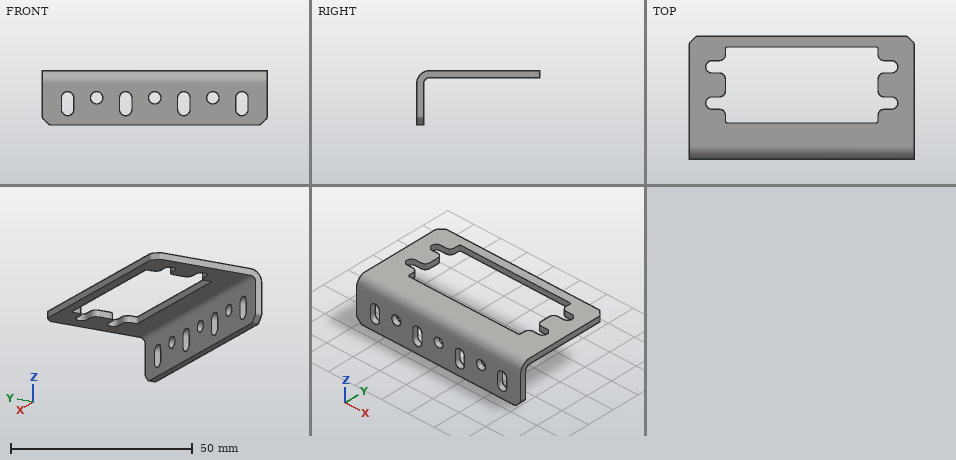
import cadquery as cq

length = 62.0
depth = 34.0
height = 15.0
thickness = 2.0
bend_radius = 3.6
inner_bend_radius = bend_radius - thickness
corner_chamfer = 2.0
blend_radius = 1.0

window_length = 42.0
window_width = 20.85
window_margin = 3.05
window_corner_radius = 0.5
window_center_y = depth - window_margin - window_width / 2
notch_width = 3.35
notch_span = 52.8
notch_pitch = 10.0
notch_entry_radius = 1.7

hole_count = 7
hole_pitch = 8.0
hole_diameter = 3.35
hole_drop = 7.5
slot_center_distance = 3.2


def make_bent_sheet():
    sheet = (
        cq.Workplane("YZ")
        .moveTo(0, -height)
        .lineTo(0, -bend_radius)
        .radiusArc((bend_radius, 0), bend_radius)
        .lineTo(depth, 0)
        .lineTo(depth, -thickness)
        .lineTo(bend_radius, -thickness)
        .radiusArc((thickness, -bend_radius), -inner_bend_radius)
        .lineTo(thickness, -height)
        .close()
        .extrude(length / 2, both=True)
    )
    plate_corners = sheet.faces(">Y").edges("|Z")
    leg_corners = sheet.faces("<Z").edges("|Y")
    sheet = sheet.newObject(plate_corners.vals() + leg_corners.vals()).chamfer(corner_chamfer)

    half = length / 2
    inset = half - corner_chamfer
    plate_end = depth - corner_chamfer
    leg_end = -height + corner_chamfer
    for side in (-1, 1):
        for x, y in ((side * half, plate_end), (side * inset, depth)):
            sheet = sheet.edges(cq.NearestToPointSelector((x, y, -thickness / 2))).fillet(blend_radius)
        for x, z in ((side * half, leg_end), (side * inset, -height)):
            sheet = sheet.edges(cq.NearestToPointSelector((x, thickness / 2, z))).fillet(blend_radius)
    return sheet


def make_window():
    window = (
        cq.Workplane("XY")
        .center(0, window_center_y)
        .rect(window_length, window_width)
        .extrude(-thickness)
        .edges("|Z")
        .fillet(window_corner_radius)
    )
    notches = (
        cq.Workplane("XY")
        .center(0, window_center_y)
        .pushPoints([(0, -notch_pitch / 2), (0, notch_pitch / 2)])
        .slot2D(notch_span, notch_width)
        .extrude(-thickness)
    )
    window = window.union(notches)

    for x in (-window_length / 2, window_length / 2):
        for notch_y in (-notch_pitch / 2, notch_pitch / 2):
            for edge_y in (notch_y - notch_width / 2, notch_y + notch_width / 2):
                corner = (x, window_center_y + edge_y, -thickness / 2)
                window = window.edges(cq.NearestToPointSelector(corner)).fillet(notch_entry_radius)
    return window


def make_leg_holes():
    row_start = -hole_pitch * (hole_count - 1) / 2
    centers = [(row_start + i * hole_pitch, -hole_drop) for i in range(hole_count)]
    slot_centers = [(x, z - slot_center_distance / 2) for x, z in centers[0::2]]
    slots = (
        cq.Workplane("XZ")
        .pushPoints(slot_centers)
        .slot2D(slot_center_distance + hole_diameter, hole_diameter, 90)
        .extrude(-thickness)
    )
    round_holes = cq.Workplane("XZ").pushPoints(centers[1::2]).circle(hole_diameter / 2).extrude(-thickness)
    return slots.union(round_holes)


result = make_bent_sheet().cut(make_window()).cut(make_leg_holes())